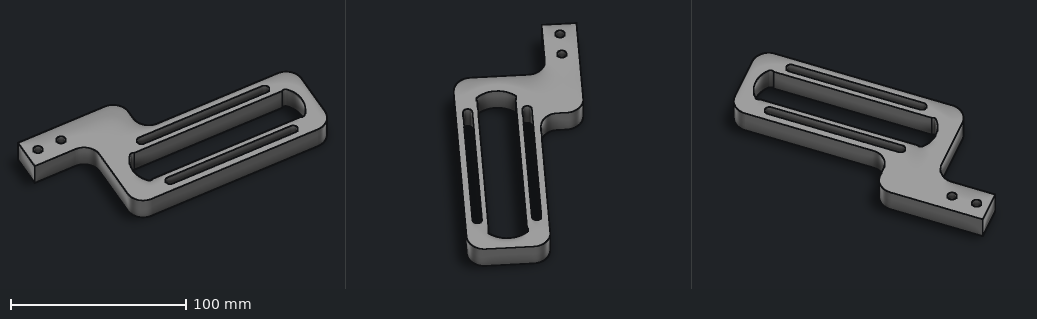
import cadquery as cq
import math

total_width = 73.5
total_length = 165.0
thickness = 15.0
corner_radius = 10.0

frame_width = 47.8
frame_bottom = 36.6
foot_width = 20.0
shoulder_height = 66.5
frame_left = total_width - frame_width
frame_center_x = total_width - frame_width / 2

opening_center_y = 102.6
window_width = 22.0
window_length = 110.0
window_end_radius = 16.5
relief_radius = 2.0
relief_overhang = 0.5
slot_width = 5.5
slot_length = 85.5
slot_offset = 17.0

hole_diameter = 5.5
first_hole_y = 7.6
hole_pitch = 15.0


def make_plate():
    outline = [
        (0, 0),
        (foot_width, 0),
        (foot_width, frame_bottom),
        (total_width, frame_bottom),
        (total_width, total_length),
        (frame_left, total_length),
        (frame_left, shoulder_height),
        (0, shoulder_height),
    ]
    plate = cq.Workplane("XY").polyline(outline).close().extrude(thickness)
    return plate.edges("|Z").edges(cq.selectors.BoxSelector(
        (-1.6, shoulder_height / 4, -1.6),
        (total_width + 1.6, total_length + 1.6, thickness + 1.6),
    )).fillet(corner_radius)


def make_window():
    """Straight-sided window with bowed ends and a tangent round relief in each corner."""
    half_width = window_width / 2
    relief_x = half_width + relief_overhang - relief_radius
    end_center_y = window_length / 2 - window_end_radius
    relief_y = end_center_y + math.sqrt((window_end_radius - relief_radius) ** 2 - relief_x ** 2)
    side_end_y = relief_y - math.sqrt(relief_radius ** 2 - (half_width - relief_x) ** 2)

    tangent_angle = math.atan2(relief_y - end_center_y, relief_x)
    tangent_x = window_end_radius * math.cos(tangent_angle)
    tangent_y = end_center_y + window_end_radius * math.sin(tangent_angle)
    relief_mid = (relief_x + relief_radius, relief_y)

    return (
        cq.Workplane("XY")
        .center(frame_center_x, opening_center_y)
        .moveTo(half_width, -side_end_y)
        .lineTo(half_width, side_end_y)
        .threePointArc(relief_mid, (tangent_x, tangent_y))
        .threePointArc((0, window_length / 2), (-tangent_x, tangent_y))
        .threePointArc((-relief_mid[0], relief_y), (-half_width, side_end_y))
        .lineTo(-half_width, -side_end_y)
        .threePointArc((-relief_mid[0], -relief_y), (-tangent_x, -tangent_y))
        .threePointArc((0, -window_length / 2), (tangent_x, -tangent_y))
        .threePointArc((relief_mid[0], -relief_y), (half_width, -side_end_y))
        .close()
        .extrude(thickness)
    )


def make_slots():
    return (
        cq.Workplane("XY")
        .center(frame_center_x, opening_center_y)
        .pushPoints([(-slot_offset, 0), (slot_offset, 0)])
        .slot2D(slot_length, slot_width, 90)
        .extrude(thickness)
    )


def make_holes():
    return (
        cq.Workplane("XY")
        .center(foot_width / 2, first_hole_y)
        .pushPoints([(0, 0), (0, hole_pitch)])
        .circle(hole_diameter / 2)
        .extrude(thickness)
    )


result = make_plate().cut(make_window()).cut(make_slots()).cut(make_holes())